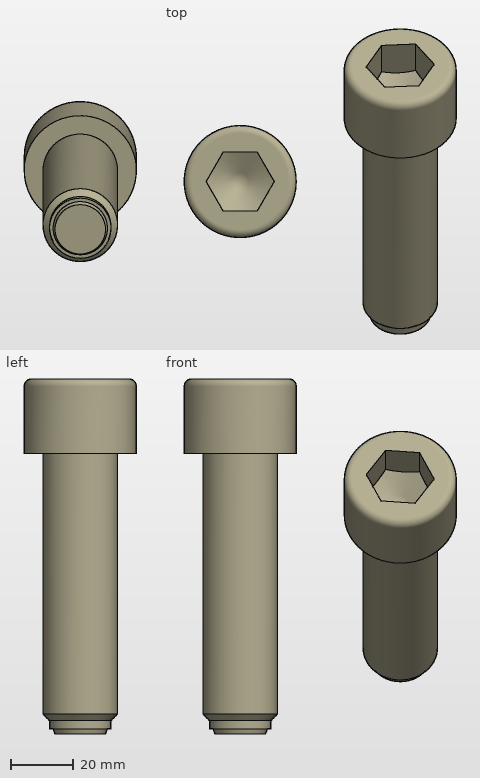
import cadquery as cq
import math

total_height = 114.0
head_diameter = 36.0
head_height = 23.9
head_fillet = 2.4
shank_diameter = 23.9

point_diameter = 19.7
point_bottom = 1.7
point_top = 4.3
chamfer_height = (shank_diameter - point_diameter) / 2

socket_across_flats = 18.9
socket_depth = 12.0
socket_cone_angle = 120.0

ball_radius = 9.0
ball_flat_radius = 8.1
ball_centre_height = math.sqrt(ball_radius**2 - ball_flat_radius**2)


def make_ball():
    """Sphere cut flat at Z = 0."""
    sphere = cq.Workplane("XY").sphere(ball_radius).translate((0, 0, ball_centre_height))
    block_size = 2 * ball_radius
    upper_half_space = cq.Workplane("XY").box(block_size, block_size, block_size, centered=(True, True, False))
    return sphere.intersect(upper_half_space)


def make_screw_blank():
    """Head, shank and stepped point without socket or ball seat."""
    head_bottom = total_height - head_height
    head = cq.Workplane("XY").workplane(offset=head_bottom).circle(head_diameter / 2).extrude(head_height)
    head = head.faces(">Z").edges().fillet(head_fillet)
    shank = cq.Workplane("XY").workplane(offset=point_top).circle(shank_diameter / 2)
    shank = shank.extrude(head_bottom - point_top).faces("<Z").chamfer(chamfer_height)
    point = cq.Workplane("XY").workplane(offset=point_bottom).circle(point_diameter / 2)
    point = point.extrude(point_top - point_bottom)
    return head.union(shank).union(point)


def make_socket():
    """Hexagonal cutter, corners along X, ending in a cone that reaches the corners."""
    corner_radius = socket_across_flats / math.sqrt(3)
    cone_depth = corner_radius / math.tan(math.radians(socket_cone_angle / 2))
    socket_bottom = total_height - socket_depth
    hexagon = cq.Workplane("XY").workplane(offset=total_height).polygon(6, 2 * corner_radius)
    hexagon = hexagon.extrude(-socket_depth - cone_depth)
    envelope = (
        cq.Workplane("XZ")
        .moveTo(0, socket_bottom - cone_depth)
        .lineTo(corner_radius, socket_bottom)
        .lineTo(head_diameter / 2, socket_bottom)
        .lineTo(head_diameter / 2, total_height)
        .lineTo(0, total_height)
        .close()
        .revolve(360, (0, 0, 0), (0, 1, 0))
    )
    return hexagon.intersect(envelope)


ball = make_ball()
screw = make_screw_blank().cut(make_socket()).cut(ball)

result = cq.Compound.makeCompound([screw.val(), ball.val()])